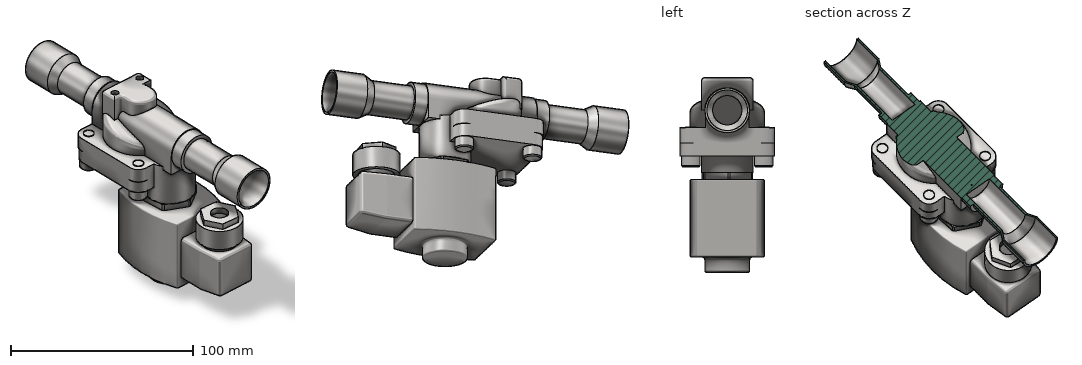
import cadquery as cq
import math


run_length = 171.0
socket_dia = 24.6
socket_bore = 22.2
socket_length = 17.8
taper_length = 5.1
tube_dia = 19.0
tube_bore = 16.0
collar_dia = 23.0
collar_end = 39.3

body_dia = 24.1
body_half_length = 32.0
body_depth = 11.8

flange_size = 52.0
flange_top = -9.5
flange_bottom = -25.1
flange_step = -18.0
flange_corner = 6.2
flange_lower_corner = 7.2
flange_x = flange_size / 2 - body_half_length
bolt_pitch = 40.0
bolt_head_dia = 10.3
bolt_head_bottom = -31.1
bolt_head_chamfer = 0.7
bolt_tip_dia = 6.0
bolt_tip_height = 0.5

dome_dia = 41.0
dome_slope = 18.0
dome_axis_height = 1.9
dome_round = 3.5

boss_left = -22.5
boss_right = -11.6
boss_width = 28.4
boss_top = 18.0
boss_round = 2.0
boss_corner_round = 1.5
tongue_dia = 18.0
boss_hole_dia = 4.3
boss_hole_depth = 3.5
boss_hole_tip_angle = 118.0
boss_hole_places = [(-17.1, 10.0), (-15.7, -10.0)]

stem_x = 17.8
stem_dia = 28.4
stem_bottom = -34.0
hexagon_turn = 3.5
nut_corner_dia = 31.1
nut_trim_dia = 30.5

coil_top = -38.0
coil_bottom = -80.5
coil_length = 47.9
coil_width = 40.7
coil_end_width = 32.5
coil_round = 0.9

cap_dia = 24.6
cap_bottom = -89.0
cap_root_round = 1.7
cap_rim_round = 1.0

plug_end = 71.6
plug_bend = 56.8
plug_top = -48.4
plug_bottom = -75.2
plug_width = 27.4
plug_end_width = 24.6
plug_end_rise = 1.9
plug_round = 2.0

gland_x = 58.0
gland_neck_dia = 20.2
gland_ring_dia = 26.0
gland_ring_bottom = -45.1
gland_ring_top = -33.2
gland_nut_corner_dia = 22.2
gland_nut_turn = 30.0 - hexagon_turn
gland_nut_top = -29.5
gland_hole_dia = 10.0
gland_hole_depth = 3.6


def cylinder(x, y, diameter, bottom, top):
    """Upright cylinder between two heights."""
    return cq.Workplane("XY", origin=(x, y, bottom)).circle(diameter / 2).extrude(top - bottom)


def box(x_min, x_max, width, bottom, top):
    """Box centred on Y between the given X and Z limits."""
    base = cq.Workplane("XY", origin=((x_min + x_max) / 2, 0, bottom))
    return base.rect(x_max - x_min, width).extrude(top - bottom)


def hexagon(x, corner_dia, turn, bottom, top):
    """Upright hexagon, one corner pointing along X before it is turned."""
    base = cq.Workplane("XY", origin=(x, 0, bottom))
    prism = base.polygon(6, corner_dia).extrude(top - bottom)
    return prism.rotate((x, 0, 0), (x, 0, 1), turn)


def both_ends(profile):
    """Revolve a half profile of (x, radius) points about X and add its mirror image."""
    end = cq.Workplane("XY").polyline(profile).close().revolve(360, (0, 0, 0), (1, 0, 0))
    return end.union(end.mirror("YZ"))


socket_start = run_length / 2 - socket_length
taper_start = socket_start - taper_length


def make_pipe_ends():
    return both_ends([
        (0, 0),
        (0, collar_dia / 2),
        (collar_end, collar_dia / 2),
        (collar_end, tube_dia / 2),
        (taper_start, tube_dia / 2),
        (socket_start, socket_dia / 2),
        (run_length / 2, socket_dia / 2),
        (run_length / 2, 0),
    ])


def make_pipe_bores():
    return both_ends([
        (body_half_length, 0),
        (body_half_length, tube_bore / 2),
        (taper_start, tube_bore / 2),
        (socket_start, socket_bore / 2),
        (run_length / 2, socket_bore / 2),
        (run_length / 2, 0),
    ])


def make_body():
    barrel = (
        cq.Workplane("YZ", origin=(-body_half_length, 0, 0))
        .circle(body_dia / 2)
        .extrude(2 * body_half_length)
    )
    return barrel.union(box(-body_half_length, body_half_length, body_dia, -body_depth, 0))


def make_flange():
    x_min = flange_x - flange_size / 2
    x_max = flange_x + flange_size / 2
    upper = box(x_min, x_max, flange_size, flange_step, flange_top)
    lower = box(x_min, x_max, flange_size, flange_bottom, flange_step)
    upper = upper.edges("|Z").fillet(flange_corner)
    lower = lower.edges("|Z").fillet(flange_lower_corner)
    flange = upper.union(lower)
    for side_x in (-1, 1):
        for side_y in (-1, 1):
            x = flange_x + side_x * bolt_pitch / 2
            y = side_y * bolt_pitch / 2
            head = cylinder(x, y, bolt_head_dia, bolt_head_bottom, flange_bottom)
            head = head.faces("<Z").chamfer(bolt_head_chamfer)
            tip = cylinder(x, y, bolt_tip_dia, flange_step, flange_top + bolt_tip_height)
            flange = flange.union(head).union(tip)
    return flange


def make_dome():
    radius = dome_dia / 2
    drop = radius * math.tan(math.radians(dome_slope))
    side = [
        (flange_x - radius, flange_step),
        (flange_x + radius, flange_step),
        (flange_x + radius, dome_axis_height - drop),
        (flange_x - radius, dome_axis_height + drop),
    ]
    wedge = cq.Workplane("XZ").polyline(side).close().extrude(radius, both=True)
    dome = cylinder(flange_x, 0, dome_dia, flange_step, dome_axis_height + drop).intersect(wedge)
    return dome.faces(">Z").edges().fillet(dome_round)


def make_boss():
    block = box(boss_left, boss_right, boss_width, 0, boss_top)
    tongue = box(boss_left + boss_round, flange_x, tongue_dia, 0, boss_top)
    tongue = tongue.union(cylinder(flange_x, 0, tongue_dia, 0, boss_top))
    boss = block.union(tongue)
    corner = cq.selectors.NearestToPointSelector((boss_right, -tongue_dia / 2, boss_top / 2))
    boss = boss.edges(corner).fillet(boss_round)
    boss = boss.edges("|Z and <X").fillet(boss_round)
    sharp_edge_y = (boss_width + tongue_dia) / 4
    sharp = cq.selectors.NearestToPointSelector((boss_right, sharp_edge_y, boss_top))
    rounded = cq.selectors.DirectionMinMaxSelector(cq.Vector(0, 0, 1)) - sharp
    boss = boss.edges(rounded).fillet(boss_round)
    return boss.cut(make_boss_corner())


def make_boss_corner():
    """Material removed to round the upright +X +Y corner of the boss block."""
    flat_x = boss_right - boss_corner_round
    flat_y = boss_width / 2 - boss_corner_round
    return (
        cq.Workplane("XY")
        .moveTo(flat_x, boss_width / 2)
        .radiusArc((boss_right, flat_y), boss_corner_round)
        .lineTo(boss_right, boss_width / 2)
        .close()
        .extrude(boss_top)
    )


def make_boss_holes():
    radius = boss_hole_dia / 2
    tip = radius / math.tan(math.radians(boss_hole_tip_angle / 2))
    profile = [(0, 0), (radius, 0), (radius, -boss_hole_depth), (0, -boss_hole_depth - tip)]
    hole = cq.Workplane("XZ").polyline(profile).close().revolve(360, (0, 0, 0), (0, 1, 0))
    holes = cq.Workplane("XY")
    for x, y in boss_hole_places:
        holes = holes.add(hole.translate((x, y, boss_top)))
    return holes.combine()


def make_stem():
    stem = cylinder(stem_x, 0, stem_dia, stem_bottom, flange_top)
    nut = hexagon(stem_x, nut_corner_dia, hexagon_turn, coil_top, stem_bottom)
    nut = nut.intersect(cylinder(stem_x, 0, nut_trim_dia, coil_top, stem_bottom))
    return stem.union(nut)


def make_coil():
    half_length = coil_length / 2
    half_end = coil_end_width / 2
    housing = (
        cq.Workplane("XY", origin=(stem_x, 0, coil_bottom))
        .moveTo(-half_length, -half_end)
        .threePointArc((0, -coil_width / 2), (half_length, -half_end))
        .lineTo(half_length, half_end)
        .threePointArc((0, coil_width / 2), (-half_length, half_end))
        .close()
        .extrude(coil_top - coil_bottom)
        .edges()
        .fillet(coil_round)
    )
    return housing.union(make_cap())


def make_cap():
    """Round cap with a concave flare where it meets the coil."""
    radius = cap_dia / 2
    flare = (
        cq.Workplane("XZ", origin=(stem_x, 0, coil_bottom))
        .moveTo(0, coil_round)
        .lineTo(radius + cap_root_round, coil_round)
        .lineTo(radius + cap_root_round, 0)
        .radiusArc((radius, -cap_root_round), -cap_root_round)
        .lineTo(0, -cap_root_round)
        .close()
        .revolve(360, (0, 0, 0), (0, 1, 0))
    )
    cap = cylinder(stem_x, 0, cap_dia, cap_bottom, coil_bottom - cap_root_round)
    return cap.faces("<Z").edges().fillet(cap_rim_round).union(flare)


def make_plug():
    half_width = plug_width / 2
    half_end = plug_end_width / 2
    outline = [
        (stem_x, -half_width),
        (plug_bend, -half_width),
        (plug_end, -half_end),
        (plug_end, half_end),
        (plug_bend, half_width),
        (stem_x, half_width),
    ]
    side = [
        (stem_x, plug_top),
        (plug_end, plug_top),
        (plug_end, plug_bottom + plug_end_rise),
        (plug_bend, plug_bottom),
        (stem_x, plug_bottom),
    ]
    plan = cq.Workplane("XY", origin=(0, 0, plug_bottom)).polyline(outline).close()
    plan = plan.extrude(plug_top - plug_bottom)
    profile = cq.Workplane("XZ").polyline(side).close().extrude(half_width, both=True)
    plug = plan.intersect(profile)
    return plug.edges("(not (|Y or |Z)) or >X").fillet(plug_round)


def make_gland():
    neck = cylinder(gland_x, 0, gland_neck_dia, plug_top - plug_round, gland_ring_bottom)
    ring = cylinder(gland_x, 0, gland_ring_dia, gland_ring_bottom, gland_ring_top)
    nut = hexagon(gland_x, gland_nut_corner_dia, gland_nut_turn, gland_ring_top, gland_nut_top)
    hole = cylinder(gland_x, 0, gland_hole_dia, gland_nut_top - gland_hole_depth, gland_nut_top)
    return neck.union(ring).union(nut).cut(hole)


result = (
    make_pipe_ends()
    .union(make_body())
    .union(make_flange())
    .union(make_dome())
    .union(make_boss())
    .union(make_stem())
    .union(make_coil())
    .union(make_plug())
    .union(make_gland())
    .cut(make_pipe_bores())
    .cut(make_boss_holes())
)